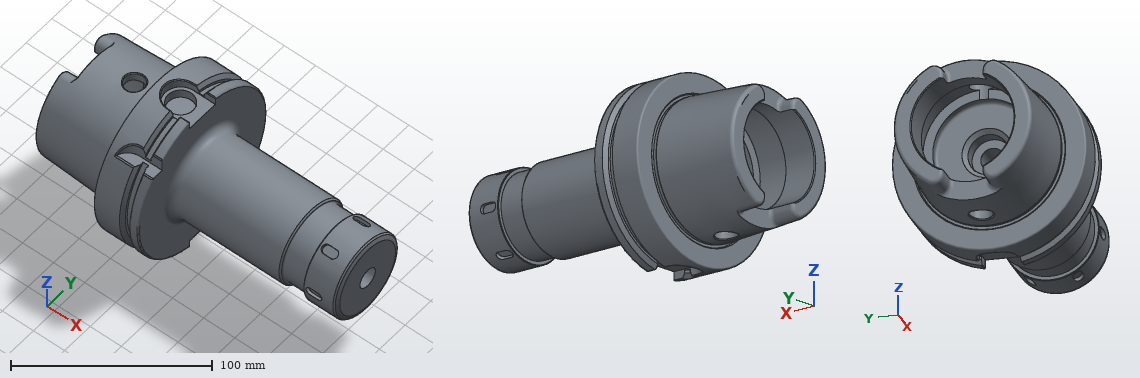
import cadquery as cq
import math

EDGE_TOLERANCE = 0.02
EDGE_SAMPLES = [0, 0.3, 0.7, 1]

TOTAL_LENGTH = 185.0
FLANGE_START = 50.0
FLANGE_END = 78.8
BARREL_END = 149.5
NUT_START = 164.3

TAPER_END_DIAMETER = 70.9
TAPER_LARGE_DIAMETER = 75.5
TAPER_LENGTH = 48.3
TAPER_END_FILLET = 2.0
UNDERCUT_DIAMETER = 74.7
UNDERCUT_BEVEL = 0.5
FACE_RECESS_DIAMETER = 78.8
FACE_RECESS_DEPTH = 0.5

BORE_DIAMETER = 53.0
BORE_MOUTH_CHAMFER = 0.5
CLAMP_GROOVE_DIAMETER = 63.0
CLAMP_GROOVE_START = 19.2
CLAMP_GROOVE_END = 40.7
BORE_DEPTH = 46.2
BORE_FLOOR_FILLET = 1.5

SOCKET_MOUTH_DIAMETER = 25.9
SOCKET_DIAMETER = 21.0
SOCKET_DEPTH = 10.0
COOLANT_DIAMETER = 12.0

DRIVE_SLOT_WIDTH = 20.4
TOP_SLOT_DEPTH = 9.6
BOTTOM_SLOT_DEPTH = 14.8
SLOT_FLARE_RADIUS = 5.0
SLOT_FLOOR_FILLET = 2.0

CROSS_HOLE_DIAMETER = 12.0
CROSS_HOLE_X = 35.2
CROSS_HOLE_CHAMFER = 0.5

FLANGE_DIAMETER = 100.0
FLANGE_FILLET = 1.0
V_GROOVE_X = 70.0
V_GROOVE_DIAMETER = 91.8
V_GROOVE_MOUTH_WIDTH = 6.7
V_GROOVE_FLOOR_WIDTH = 3.5
V_GROOVE_WALL_ANGLE = 30.0

KEYWAY_WIDTH = 20.0
KEYWAY_END_X = 64.8
KEYWAY_FLOOR_Z = 44.0
KEYWAY_HOLE_DIAMETER = 16.0
KEYWAY_HOLE_DEPTH = 5.5
NOTCH_OFFSET = 31.5
POCKET_EDGE_CHAMFER = 0.5

BARREL_DIAMETER = 50.0
BARREL_ROOT_FILLET = 5.0
BARREL_CHAMFER = 1.0
NECK_DIAMETER = 45.5
NECK_ROOT_FILLET = 0.5

NUT_DIAMETER = 50.0
NUT_BACK_CHAMFER = 0.4
NUT_BAND_END = 183.2
NUT_SHOULDER_X = 184.0
NUT_SHOULDER_DIAMETER = 48.5
NUT_FACE_DIAMETER = 43.5
WRENCH_SLOT_COUNT = 6
WRENCH_SLOT_LENGTH = 10.0
WRENCH_SLOT_WIDTH = 5.2
WRENCH_SLOT_X = 171.0
WRENCH_SLOT_DEPTH = 2.0


def revolved(points):
    """Solid turned about X from (x, radius) points."""
    return cq.Workplane("XY").polyline(points).close().revolve(360, (0, 0, 0), (1, 0, 0))


def x_cylinder(diameter, start, end):
    """Cylinder on the X axis from x = start to x = end."""
    return cq.Workplane("YZ", origin=(start, 0, 0)).circle(diameter / 2).extrude(end - start)


def z_cylinder(diameter, x, start, end):
    """Cylinder parallel to Z at the given x, from z = start to z = end."""
    return cq.Workplane("XY", origin=(x, 0, start)).circle(diameter / 2).extrude(end - start)


def lies_on_bore(edge):
    """True for an arc where the end face meets the bore."""
    return edge.geomType() == "CIRCLE" and math.isclose(edge.radius(), BORE_DIAMETER / 2, abs_tol=EDGE_TOLERANCE)


def taper_shank():
    """Hollow taper with its two driving slots.

    The slot edges are flared first, so that the floor and end fillets can follow tangent edges.
    """
    end_radius = TAPER_END_DIAMETER / 2
    large_radius = TAPER_LARGE_DIAMETER / 2
    shank = revolved([(0, 0), (0, end_radius), (TAPER_LENGTH, large_radius), (TAPER_LENGTH, 0)])
    shank = shank.cut(x_cylinder(BORE_DIAMETER, 0, CLAMP_GROOVE_START))

    slot_sides = ((TOP_SLOT_DEPTH, 1), (BOTTOM_SLOT_DEPTH, -1))
    for depth, side in slot_sides:
        slot = cq.Workplane("XY").box(depth, DRIVE_SLOT_WIDTH, large_radius)
        shank = shank.cut(slot.translate((depth / 2, 0, side * large_radius / 2)))

    flare_edges = shank.edges("%HYPERBOLA")
    shank = flare_edges.fillet(SLOT_FLARE_RADIUS)

    for depth, _ in slot_sides:
        floor_slice = cq.selectors.BoxSelector(
            (depth - EDGE_TOLERANCE, -large_radius, -large_radius),
            (depth + EDGE_TOLERANCE, large_radius, large_radius),
        )
        floor_corners = shank.edges(floor_slice).edges("|Z")
        shank = floor_corners.fillet(SLOT_FLOOR_FILLET)

    end_edges = shank.faces("<X").edges()
    rim = [edge for edge in end_edges.vals() if not lies_on_bore(edge)]
    return shank.newObject(rim).fillet(TAPER_END_FILLET)


def undercut_neck():
    """Short relief, bevelled toward the taper, that reaches into the recess of the flange face."""
    neck_end = FLANGE_START + FACE_RECESS_DEPTH
    neck_radius = UNDERCUT_DIAMETER / 2
    return revolved([
        (TAPER_LENGTH, 0),
        (TAPER_LENGTH, TAPER_LARGE_DIAMETER / 2),
        (TAPER_LENGTH + UNDERCUT_BEVEL, neck_radius),
        (neck_end, neck_radius),
        (neck_end, 0),
    ])


def v_groove():
    """Ring cutter for the gripper groove around the flange."""
    floor_radius = V_GROOVE_DIAMETER / 2
    flange_radius = FLANGE_DIAMETER / 2
    half_mouth = V_GROOVE_MOUTH_WIDTH / 2
    half_floor = V_GROOVE_FLOOR_WIDTH / 2
    wall_depth = (half_mouth - half_floor) / math.tan(math.radians(V_GROOVE_WALL_ANGLE))
    wall_radius = flange_radius - wall_depth
    return revolved([
        (V_GROOVE_X - half_floor, floor_radius),
        (V_GROOVE_X - half_floor, wall_radius),
        (V_GROOVE_X - half_mouth, flange_radius),
        (V_GROOVE_X + half_mouth, flange_radius),
        (V_GROOVE_X + half_floor, wall_radius),
        (V_GROOVE_X + half_floor, floor_radius),
    ])


def face_recess():
    """Shallow recess with a bevelled rim in the flange face, around the undercut neck."""
    rim_radius = FACE_RECESS_DIAMETER / 2
    floor_x = FLANGE_START + FACE_RECESS_DEPTH
    return revolved([
        (FLANGE_START, 0),
        (FLANGE_START, rim_radius),
        (floor_x, rim_radius - FACE_RECESS_DEPTH),
        (floor_x, 0),
    ])


def round_ended_pocket(center_y, floor_z):
    """Cutter open to +Z and to the flange's +X face, half-round at the end toward the taper."""
    half_width = KEYWAY_WIDTH / 2
    return (
        cq.Workplane("XY", origin=(0, center_y, floor_z))
        .moveTo(FLANGE_END, -half_width)
        .lineTo(KEYWAY_END_X, -half_width)
        .threePointArc((KEYWAY_END_X - half_width, 0), (KEYWAY_END_X, half_width))
        .lineTo(FLANGE_END, half_width)
        .close()
        .extrude(FLANGE_DIAMETER / 2 - floor_z)
    )


def is_pocket_rim(edge):
    """True for an edge where a pocket breaks through the flange's outer surface."""
    on_surface = all(
        math.isclose(math.hypot(point.y, point.z), FLANGE_DIAMETER / 2, abs_tol=EDGE_TOLERANCE)
        for point in edge.positions(EDGE_SAMPLES)
    )
    middle_x = edge.Center().x
    between_faces = FLANGE_START + EDGE_TOLERANCE < middle_x < FLANGE_END - EDGE_TOLERANCE
    return on_surface and between_faces


def flange():
    """Gripper flange with its groove, two keyways, notch and keyway hole."""
    disc = x_cylinder(FLANGE_DIAMETER, FLANGE_START, FLANGE_END)
    rounded_disc = disc.edges("%CIRCLE").fillet(FLANGE_FILLET)

    keyway = round_ended_pocket(0, KEYWAY_FLOOR_Z)
    notch = round_ended_pocket(-NOTCH_OFFSET - KEYWAY_WIDTH / 2, NOTCH_OFFSET)
    disc = disc.cut(keyway).cut(keyway.mirror("XY")).cut(notch)
    pocket_rims = [edge for edge in disc.edges().vals() if is_pocket_rim(edge)]
    disc = disc.newObject(pocket_rims).chamfer(POCKET_EDGE_CHAMFER)

    disc = disc.intersect(rounded_disc).cut(v_groove())
    disc = disc.cut(face_recess())
    hole_floor_z = KEYWAY_FLOOR_Z - KEYWAY_HOLE_DEPTH
    return disc.cut(z_cylinder(KEYWAY_HOLE_DIAMETER, KEYWAY_END_X, hole_floor_z, KEYWAY_FLOOR_Z))


def barrel():
    """Cylindrical barrel and the slimmer neck that carries the nut."""
    body = x_cylinder(BARREL_DIAMETER, FLANGE_END, BARREL_END).faces(">X").edges().chamfer(BARREL_CHAMFER)
    body = body.union(x_cylinder(NECK_DIAMETER, BARREL_END, NUT_START))
    neck_root = body.edges(cq.selectors.RadiusNthSelector(0)).edges("<X")
    return neck_root.fillet(NECK_ROOT_FILLET)


def barrel_root():
    """Concave fillet ring where the barrel leaves the flange."""
    radius = BARREL_DIAMETER / 2
    fillet = BARREL_ROOT_FILLET
    inset = fillet * (1 - math.cos(math.pi / 4))
    return (
        cq.Workplane("XY")
        .moveTo(FLANGE_END, 0)
        .lineTo(FLANGE_END, radius + fillet)
        .threePointArc((FLANGE_END + inset, radius + inset), (FLANGE_END + fillet, radius))
        .lineTo(FLANGE_END + fillet, 0)
        .close()
        .revolve(360, (0, 0, 0), (1, 0, 0))
    )


def bore():
    """Stepped cutter for the inside of the shank, down to the coolant hole."""
    bore_radius = BORE_DIAMETER / 2
    main = x_cylinder(BORE_DIAMETER, 0, BORE_DEPTH).faces(">X").edges().fillet(BORE_FLOOR_FILLET)
    groove = x_cylinder(CLAMP_GROOVE_DIAMETER, CLAMP_GROOVE_START, CLAMP_GROOVE_END)
    mouth_radius = bore_radius + BORE_MOUTH_CHAMFER
    mouth = revolved([
        (0, 0),
        (0, mouth_radius),
        (BORE_MOUTH_CHAMFER, bore_radius),
        (BORE_MOUTH_CHAMFER, 0),
    ])
    cone_depth = (SOCKET_MOUTH_DIAMETER - SOCKET_DIAMETER) / 2
    socket = revolved([
        (BORE_DEPTH, 0),
        (BORE_DEPTH, SOCKET_MOUTH_DIAMETER / 2),
        (BORE_DEPTH + cone_depth, SOCKET_DIAMETER / 2),
        (BORE_DEPTH + SOCKET_DEPTH, SOCKET_DIAMETER / 2),
        (BORE_DEPTH + SOCKET_DEPTH, 0),
    ])
    coolant = x_cylinder(COOLANT_DIAMETER, BORE_DEPTH, NUT_START)
    return main.union(groove).union(mouth).union(socket).union(coolant)


def cross_hole_rims(body):
    """The two edges where the cross hole opens on the outside of the taper."""
    hole_radius = CROSS_HOLE_DIAMETER / 2
    rims = []
    for edge in body.edges().vals():
        points = edge.positions(EDGE_SAMPLES)
        on_hole = all(
            math.isclose(math.hypot(point.x - CROSS_HOLE_X, point.y), hole_radius, abs_tol=EDGE_TOLERANCE)
            for point in points
        )
        outside_groove = all(abs(point.z) > CLAMP_GROOVE_DIAMETER / 2 + EDGE_TOLERANCE for point in points)
        if on_hole and outside_groove:
            rims.append(edge)
    return rims


def make_holder():
    """The tool holder: shank, flange and barrel in one solid."""
    body = taper_shank().union(undercut_neck()).union(flange()).union(barrel_root()).union(barrel())
    body = body.cut(bore())
    reach = TAPER_LARGE_DIAMETER / 2
    body = body.cut(z_cylinder(CROSS_HOLE_DIAMETER, CROSS_HOLE_X, -reach, reach))
    return body.newObject(cross_hole_rims(body)).chamfer(CROSS_HOLE_CHAMFER)


def make_nut():
    """The clamping nut, with wrench slots around its rim."""
    radius = NUT_DIAMETER / 2
    nut = revolved([
        (NUT_START, COOLANT_DIAMETER / 2),
        (NUT_START, radius - NUT_BACK_CHAMFER),
        (NUT_START + NUT_BACK_CHAMFER, radius),
        (NUT_BAND_END, radius),
        (NUT_SHOULDER_X, NUT_SHOULDER_DIAMETER / 2),
        (TOTAL_LENGTH, NUT_FACE_DIAMETER / 2),
        (TOTAL_LENGTH, COOLANT_DIAMETER / 2),
    ])
    slot = (
        cq.Workplane("XZ", origin=(WRENCH_SLOT_X, WRENCH_SLOT_DEPTH - radius, 0))
        .slot2D(WRENCH_SLOT_LENGTH, WRENCH_SLOT_WIDTH)
        .extrude(WRENCH_SLOT_DEPTH)
    )
    for index in range(WRENCH_SLOT_COUNT):
        angle = index * 360 / WRENCH_SLOT_COUNT
        nut = nut.cut(slot.rotate((0, 0, 0), (1, 0, 0), angle))
    return nut


holder = make_holder()
nut = make_nut()
result = cq.Compound.makeCompound([holder.val(), nut.val()])